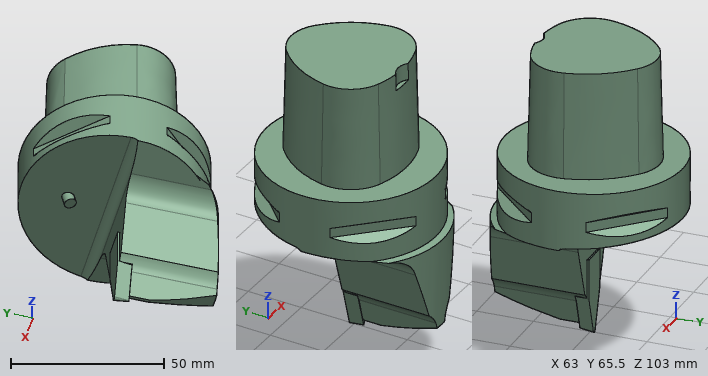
import cadquery as cq
import math

OVERALL_LENGTH = 103.0

SHANK_HEIGHT = 37.8
SHANK_LOBE_REACH = 23.4
SHANK_FLAT_REACH = 20.4
LOBE_RADIUS = 14.8
SHANK_TAPER = math.degrees(math.atan(1 / 40))
NOTCH_RADIUS = 6.1
NOTCH_DEPTH = 6.2
NOTCH_INNER_Y = -17.8

FLANGE_RADIUS = 31.5
FLANGE_FRONT_Z = -23.0
FLANGE_BACK_Z = -18.0
BACK_SLOPE = 4.7

SLOT_COUNT = 4
SLOT_FLOOR_DISTANCE = 28.0
SLOT_MIDDLE_Z = -12.0
SLOT_FLOOR_HEIGHT = 3.5
SLOT_MOUTH_HEIGHT = 7.8

BLADE_FACE_Y = -0.4
BLADE_FRONT_Y = -34.0
BLADE_ROOT_Z = -23.5
BLADE_BACK_FILLET = 3.6
BLADE_CENTER_Y = BLADE_FRONT_Y + FLANGE_RADIUS
BLADE_BOTTOM_Z = -62.4

NOZZLE_DIAMETER = 4.0
NOZZLE_TILT = 14.0
NOZZLE_END_Y = 14.9
NOZZLE_END_Z = -22.2
NOZZLE_LENGTH = 5.2

INSERT_THICKNESS = 5.0
INSERT_PROUD = 0.6
INSERT_TOP_Z = -37.0
INSERT_SHOULDER_Z = -51.1
INSERT_TIP_Z = SHANK_HEIGHT - OVERALL_LENGTH
INSERT_TIP_RADIUS = 0.8
INSERT_HALF_ANGLE = 16.1
INSERT_CLEARANCE = 7.0

MARGIN = 5.2


def polar(radius, degrees):
    angle = math.radians(degrees)
    return (radius * math.cos(angle), radius * math.sin(angle))


def make_shank():
    """Three lobes joined by three flatter arcs, tangent to each other, tapering upwards."""
    lobe_offset = SHANK_LOBE_REACH - LOBE_RADIUS
    reach_step = SHANK_FLAT_REACH - LOBE_RADIUS
    flat_offset = (lobe_offset ** 2 - reach_step ** 2) / (2 * reach_step - lobe_offset)
    flat_radius = flat_offset + SHANK_FLAT_REACH

    lobe_x, lobe_y = polar(lobe_offset, -30)
    center_distance = math.hypot(lobe_x, lobe_y - flat_offset)
    seam_x = lobe_x * flat_radius / center_distance
    seam_y = flat_offset + (lobe_y - flat_offset) * flat_radius / center_distance
    seam_distance = math.hypot(seam_x, seam_y)
    seam_half_angle = math.degrees(math.atan2(seam_x, -seam_y))

    outline = cq.Workplane("XY").moveTo(-seam_x, seam_y)
    for middle in (-90, 30, 150):
        flat_end = polar(seam_distance, middle + seam_half_angle)
        lobe_end = polar(seam_distance, middle + 120 - seam_half_angle)
        outline = outline.threePointArc(polar(SHANK_FLAT_REACH, middle), flat_end)
        outline = outline.threePointArc(polar(SHANK_LOBE_REACH, middle + 60), lobe_end)
    shank = outline.close().extrude(SHANK_HEIGHT, taper=SHANK_TAPER)

    notch = (
        cq.Workplane("XY", origin=(0, NOTCH_INNER_Y - NOTCH_RADIUS, SHANK_HEIGHT - NOTCH_DEPTH))
        .circle(NOTCH_RADIUS)
        .extrude(NOTCH_DEPTH + MARGIN)
    )
    return shank.cut(notch)


def make_round_blank():
    """Flange cylinder, sloping ledge and the offset cylinder that bounds the blade."""
    flange = cq.Workplane("XY").circle(FLANGE_RADIUS).extrude(FLANGE_FRONT_Z)
    ledge = (
        cq.Workplane("XY", origin=(0, 0, FLANGE_FRONT_Z))
        .circle(FLANGE_RADIUS)
        .workplane(offset=BLADE_ROOT_Z - FLANGE_FRONT_Z)
        .center(0, BLADE_CENTER_Y)
        .circle(FLANGE_RADIUS)
        .loft(ruled=True)
    )
    blade_cylinder = (
        cq.Workplane("XY", origin=(0, BLADE_CENTER_Y, BLADE_ROOT_Z))
        .circle(FLANGE_RADIUS)
        .extrude(BLADE_BOTTOM_Z - BLADE_ROOT_Z)
    )
    return flange.union(ledge).union(blade_cylinder)


def make_blade_width_profile():
    """Prism along Y: flange underside, concave root, tapered flanks and slim neck."""
    rim = (FLANGE_RADIUS, -21.4)
    root_start = (19.1, -23.8)
    root_middle = (14.7, -26.4)
    root_end = (12.4, -30.8)
    neck_start = (6.6, -48.9)
    neck_middle = (4.6, -50.9)
    neck_end = (3.1, -53.4)
    bottom_half_width = 0.5

    def mirrored(point):
        return (-point[0], point[1])

    return (
        cq.Workplane("XZ", origin=(0, -2 * FLANGE_RADIUS, 0))
        .moveTo(-FLANGE_RADIUS, 0)
        .lineTo(FLANGE_RADIUS, 0)
        .lineTo(*rim)
        .lineTo(*root_start)
        .threePointArc(root_middle, root_end)
        .lineTo(*neck_start)
        .threePointArc(neck_middle, neck_end)
        .lineTo(bottom_half_width, BLADE_BOTTOM_Z)
        .lineTo(-bottom_half_width, BLADE_BOTTOM_Z)
        .lineTo(*mirrored(neck_end))
        .threePointArc(mirrored(neck_middle), mirrored(neck_start))
        .lineTo(*mirrored(root_end))
        .threePointArc(mirrored(root_middle), mirrored(root_start))
        .lineTo(*mirrored(rim))
        .close()
        .extrude(-4 * FLANGE_RADIUS)
    )


def make_blade_side_profile():
    """Prism along X: sloping back underside, flat blade face and curved blade bottom."""
    slope = math.tan(math.radians(BACK_SLOPE))
    corner_z = FLANGE_BACK_Z - slope * (FLANGE_RADIUS - BLADE_FACE_Y)
    tangent = BLADE_BACK_FILLET * math.tan(math.radians(90 - BACK_SLOPE) / 2)
    slope_y, slope_z = polar(tangent, BACK_SLOPE)
    bottom_flat_end = (-11.7, BLADE_BOTTOM_Z)
    bottom_middle = (-23.0, -59.5)
    bottom_front = (BLADE_FRONT_Y, -55.6)
    return (
        cq.Workplane("YZ", origin=(-FLANGE_RADIUS, 0, 0))
        .moveTo(BLADE_FRONT_Y, 0)
        .lineTo(FLANGE_RADIUS, 0)
        .lineTo(FLANGE_RADIUS, FLANGE_BACK_Z)
        .lineTo(BLADE_FACE_Y + slope_y, corner_z + slope_z)
        .radiusArc((BLADE_FACE_Y, corner_z - tangent), -BLADE_BACK_FILLET)
        .lineTo(BLADE_FACE_Y, BLADE_BOTTOM_Z)
        .lineTo(*bottom_flat_end)
        .threePointArc(bottom_middle, bottom_front)
        .close()
        .extrude(2 * FLANGE_RADIUS)
    )


def make_gripper_slot():
    """Straight slot with flared walls, cut into the +X side of the flange."""
    depth = FLANGE_RADIUS - SLOT_FLOOR_DISTANCE
    floor_half = SLOT_FLOOR_HEIGHT / 2
    mouth_half = SLOT_MOUTH_HEIGHT / 2
    return (
        cq.Workplane("XZ", origin=(SLOT_FLOOR_DISTANCE, FLANGE_RADIUS, SLOT_MIDDLE_Z))
        .polyline([(0, -floor_half), (depth, -mouth_half), (depth, mouth_half), (0, floor_half)])
        .close()
        .extrude(2 * FLANGE_RADIUS)
    )


def make_nozzle():
    """Short tilted pin on the flange underside; its upper end is sunk into the flange."""
    tilt = math.radians(NOZZLE_TILT)
    end = cq.Vector(0, NOZZLE_END_Y, NOZZLE_END_Z)
    axis = cq.Vector(0, math.sin(tilt), math.cos(tilt))
    return cq.Workplane(cq.Solid.makeCylinder(NOZZLE_DIAMETER / 2, NOZZLE_LENGTH, end, axis))


def make_insert():
    """Pointed plate with a rounded tip and flanks relieved towards -Y."""
    half_angle = math.radians(INSERT_HALF_ANGLE)
    tip_x = INSERT_TIP_RADIUS * math.cos(half_angle)
    tip_z = INSERT_TIP_Z + INSERT_TIP_RADIUS * (1 - math.sin(half_angle))
    half_width = tip_x + (INSERT_SHOULDER_Z - tip_z) * math.tan(half_angle)
    return (
        cq.Workplane("XZ", origin=(0, BLADE_FACE_Y + INSERT_PROUD, 0))
        .moveTo(-half_width, INSERT_TOP_Z)
        .lineTo(half_width, INSERT_TOP_Z)
        .lineTo(half_width, INSERT_SHOULDER_Z)
        .lineTo(tip_x, tip_z)
        .threePointArc((0, INSERT_TIP_Z), (-tip_x, tip_z))
        .lineTo(-half_width, INSERT_SHOULDER_Z)
        .close()
        .extrude(INSERT_THICKNESS, taper=INSERT_CLEARANCE)
    )


def make_insert_seat():
    """Room for the insert: everything from its back plane to the blade face at the tip."""
    height = INSERT_SHOULDER_Z - INSERT_TIP_Z
    back_y = BLADE_FACE_Y + INSERT_PROUD - INSERT_THICKNESS
    return cq.Workplane("XY").box(
        2 * MARGIN, -back_y, height, centered=(True, False, False)
    ).translate((0, back_y, INSERT_TIP_Z))


def make_holder(insert):
    body = make_round_blank()
    body = body.intersect(make_blade_width_profile())
    body = body.intersect(make_blade_side_profile())
    slot = make_gripper_slot()
    for index in range(SLOT_COUNT):
        angle = (index + 0.5) * 360 / SLOT_COUNT
        body = body.cut(slot.rotate((0, 0, 0), (0, 0, 1), angle))
    body = body.union(make_shank()).union(make_nozzle())
    return body.cut(insert).cut(make_insert_seat())


insert = make_insert()
holder = make_holder(insert)
result = cq.Compound.makeCompound([holder.solids().val(), insert.solids().val()])